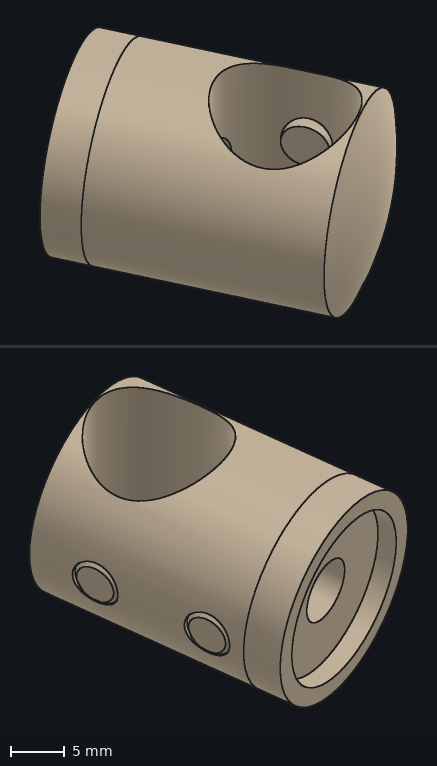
import cadquery as cq

total_length = 30.1
outer_diameter = 22.0
outer_radius = outer_diameter / 2

ring_width = 4.05
ring_bore_diameter = 18.0
spigot_start = ring_width / 2

dome_start = 27.87
stem_hole_diameter = 6.53
rail_bore_diameter = 14.3
rail_bore_x = 20.55

screw_diameter = 5.03
screw_length = 5.0
screw_tip_y = outer_radius - screw_length
screw_head_chamfer = 0.45
screw_tip_diameter = 4.8
screw_tip_height = 0.4
stem_screw_x = 8.13
screw_positions = [stem_screw_x, rail_bore_x]


def x_cylinder(diameter, start, end):
    """Cylinder on the part's axis between two X positions."""
    return cq.Workplane("YZ").workplane(offset=start).circle(diameter / 2).extrude(end - start)


def make_base_ring():
    ring = x_cylinder(outer_diameter, 0, ring_width)
    return ring.cut(x_cylinder(ring_bore_diameter, 0, ring_width))


def make_domed_body():
    """Solid cylinder closed by a shallow spherical dome."""
    dome_height = total_length - dome_start
    dome_radius = (outer_radius**2 + dome_height**2) / (2 * dome_height)
    dome_center_x = total_length - dome_radius
    mid_radius = outer_radius / 2
    mid_x = dome_center_x + (dome_radius**2 - mid_radius**2) ** 0.5
    return (
        cq.Workplane("XY")
        .moveTo(ring_width, 0)
        .lineTo(ring_width, outer_radius)
        .lineTo(dome_start, outer_radius)
        .threePointArc((mid_x, mid_radius), (total_length, 0))
        .close()
        .revolve(360, (0, 0, 0), (1, 0, 0))
    )


def make_screw_hole(x):
    """Radial cutter from the +Y side, as deep as the seated screw."""
    return (
        cq.Workplane("XZ", origin=(x, screw_tip_y, 0))
        .circle(screw_diameter / 2)
        .extrude(-2 * screw_length)
    )


def make_housing():
    stem_hole = x_cylinder(stem_hole_diameter, spigot_start, rail_bore_x)
    rail_bore = (
        cq.Workplane("XY", origin=(rail_bore_x, 0, -outer_radius))
        .circle(rail_bore_diameter / 2)
        .extrude(outer_diameter)
    )
    spigot = x_cylinder(ring_bore_diameter, spigot_start, ring_width)
    housing = make_domed_body().union(spigot).cut(stem_hole).cut(rail_bore)
    for x in screw_positions:
        housing = housing.cut(make_screw_hole(x))
    return housing


def make_screw(x):
    """Set screw with a chamfered outer end and a slightly tapered tip."""
    head_y = outer_radius
    screw_radius = screw_diameter / 2
    return (
        cq.Workplane("XY", origin=(x, 0, 0))
        .moveTo(0, screw_tip_y)
        .lineTo(screw_tip_diameter / 2, screw_tip_y)
        .lineTo(screw_radius, screw_tip_y + screw_tip_height)
        .lineTo(screw_radius, head_y - screw_head_chamfer)
        .lineTo(screw_radius - screw_head_chamfer, head_y)
        .lineTo(0, head_y)
        .close()
        .revolve(360, (0, 0, 0), (0, 1, 0))
    )


base_ring = make_base_ring()
housing = make_housing()
screws = [make_screw(x) for x in screw_positions]

result = cq.Compound.makeCompound(
    [base_ring.val(), housing.val(), *[screw.val() for screw in screws]]
)